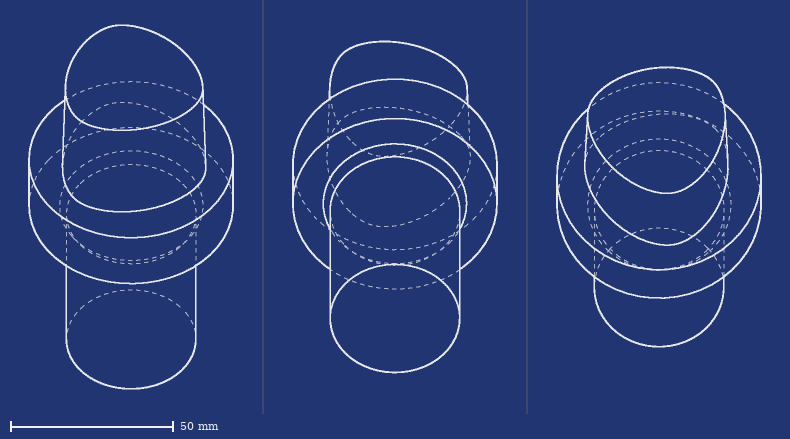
import cadquery as cq
import math

total_length = 126.9
shank_length = 60.0
tip_height = 2.9
neck_height = 4.0
flange_height = 22.0

shank_radius = 40.0 / 2
flange_radius = 63.0 / 2
tip_radius = 10.3
neck_top_radius = 22.1

polygon_base_width = 44.2
polygon_top_width = 42.4
lobe_depth = 1.4
lobe_count = 3
points_per_lobe = 16

neck_bottom_z = tip_height + shank_length
flange_bottom_z = neck_bottom_z + neck_height
flange_top_z = flange_bottom_z + flange_height
polygon_height = total_length - flange_top_z


def lobed_outline(width):
    """Points of a constant-width curve, starting at the -Y lobe."""
    point_count = lobe_count * points_per_lobe
    points = []
    for i in range(point_count):
        turn = 2 * math.pi * i / point_count
        normal = turn - math.pi / 2
        reach = width / 2 + lobe_depth * math.cos(lobe_count * turn)
        slide = -lobe_count * lobe_depth * math.sin(lobe_count * turn)
        x = reach * math.cos(normal) - slide * math.sin(normal)
        y = reach * math.sin(normal) + slide * math.cos(normal)
        points.append((x, y))
    return points


def turned_body():
    """Shank with coned tip, conical neck and flange, revolved about Z."""
    profile = [
        (0, 0),
        (tip_radius, 0),
        (shank_radius, tip_height),
        (shank_radius, neck_bottom_z),
        (neck_top_radius, flange_bottom_z),
        (flange_radius, flange_bottom_z),
        (flange_radius, flange_top_z),
        (0, flange_top_z),
    ]
    return cq.Workplane("XZ").polyline(profile).close().revolve(360, (0, 0), (0, 1))


def polygon_taper():
    """Three-lobed taper standing on the flange."""
    return (
        cq.Workplane("XY")
        .workplane(offset=flange_top_z)
        .spline(lobed_outline(polygon_base_width), periodic=True)
        .close()
        .workplane(offset=polygon_height)
        .spline(lobed_outline(polygon_top_width), periodic=True)
        .close()
        .loft(ruled=True)
    )


result = turned_body().union(polygon_taper())